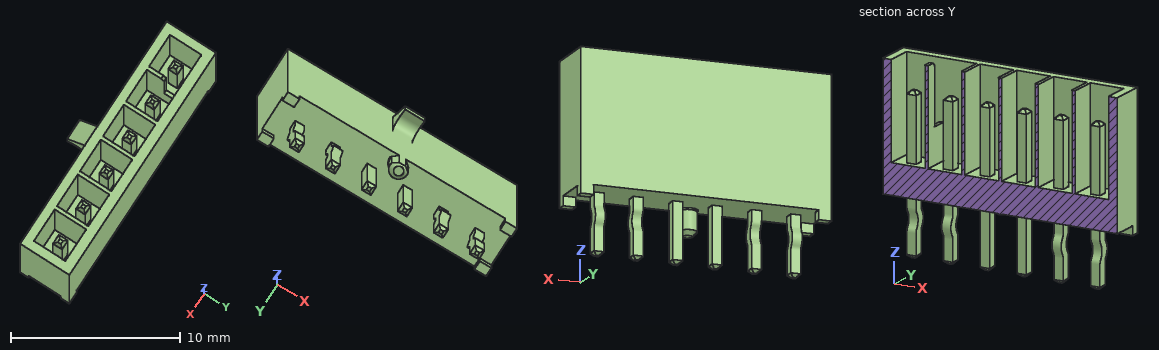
import cadquery as cq
import math


LENGTH = 15.94
DEPTH = 3.47
HEIGHT = 8.43
FRONT_Y = -DEPTH / 2
BACK_Y = DEPTH / 2

FOOT_LENGTH = 0.81
FOOT_DEPTH = 0.6
FOOT_HEIGHT = 0.6

PIN_COUNT = 6
PITCH = 2.5
POCKET_LENGTH = 2.26
FRONT_WALL = 0.6
BACK_WALL = 0.65
POCKET_WIDTH = DEPTH - FRONT_WALL - BACK_WALL
POCKET_DEPTH = 6.38
POCKET_BACK_Y = BACK_Y - BACK_WALL
POCKET_Y = POCKET_BACK_Y - POCKET_WIDTH / 2

GAP_LIP_Y = -0.13
GAP_CHAMFER = 0.2
GAP_DEPTH = 3.98

PIN_SIZE = 0.64
PIN_TIP = 0.2
PIN_BOTTOM = -3.83
PIN_TOP = HEIGHT - 1.91
KINK_CENTER_Z = -1.45
KINK_OFFSET = 0.24
KINK_CROWN_HALF = 0.5
KINK_HALF = 0.75
KINK_SIDES = [1, -1, 0, 0, -1, 1]

LATCH_WIDTH = 1.37
LATCH_REACH = 1.4
LATCH_TOP_Z = HEIGHT - 1.35
LATCH_NOSE_TOP_Z = HEIGHT - 3.0
LATCH_ROOT_Z = HEIGHT - 4.13
LATCH_HOLLOW_RADIUS = 0.65
LATCH_HOOK_ANGLE = math.radians(21.6)

PEG_RADIUS = 0.59
PEG_LENGTH = 1.61
PEG_CHAMFER = 0.29
PEG_Y = FRONT_Y + 0.43
PEG_FLAT_WIDTH = 0.45
PEG_FACET_DEPTH = 0.35
PEG_FLARE = 0.05
PEG_FLARE_HEIGHT = 0.1


def pin_x(index):
    return (index - (PIN_COUNT - 1) / 2) * PITCH


def box(length, width, height, x, y, bottom_z):
    """Box centred on (x, y) and standing on bottom_z."""
    return cq.Workplane("XY").box(length, width, height, centered=(True, True, False)).translate((x, y, bottom_z))


def make_housing():
    housing = box(LENGTH, DEPTH, HEIGHT, 0, 0, 0)
    foot_x = (LENGTH - FOOT_LENGTH) / 2
    foot_y = (DEPTH - FOOT_DEPTH) / 2
    for x in (-foot_x, foot_x):
        for y in (-foot_y, foot_y):
            housing = housing.union(box(FOOT_LENGTH, FOOT_DEPTH, FOOT_HEIGHT, x, y, -FOOT_HEIGHT))
    for index in range(PIN_COUNT):
        pocket = box(POCKET_LENGTH, POCKET_WIDTH, POCKET_DEPTH, pin_x(index), POCKET_Y, HEIGHT - POCKET_DEPTH)
        housing = housing.cut(pocket)
    return housing.cut(make_partition_gap())


def make_partition_gap():
    """Opening from the back wall to mid-partition, with a chamfer on its upper lip."""
    gap_end_y = GAP_LIP_Y + GAP_CHAMFER
    return (
        cq.Workplane("YZ")
        .moveTo(POCKET_BACK_Y, HEIGHT)
        .lineTo(GAP_LIP_Y, HEIGHT)
        .lineTo(gap_end_y, HEIGHT - GAP_CHAMFER)
        .lineTo(gap_end_y, HEIGHT - GAP_DEPTH)
        .lineTo(POCKET_BACK_Y, HEIGHT - GAP_DEPTH)
        .close()
        .extrude((PITCH - POCKET_LENGTH) / 2, both=True)
        .translate(((pin_x(0) + pin_x(1)) / 2, 0, 0))
    )


def kink_points(side):
    """(offset, height) points down the kink: root arc, crown arc and root arc, all meeting tangentially."""
    slope = 2 * math.atan(KINK_OFFSET / KINK_HALF)
    root_height = KINK_HALF - KINK_CROWN_HALF
    root_radius = root_height / math.sin(slope)
    root_offset = root_radius * (1 - math.cos(slope))
    half_root_offset = root_radius * (1 - math.cos(slope / 2))
    half_root_z = KINK_HALF - root_radius * math.sin(slope / 2)
    upper = [(0, KINK_HALF), (half_root_offset, half_root_z), (root_offset, KINK_CROWN_HALF)]
    lower = [(offset, -z) for offset, z in reversed(upper)]
    points = upper + [(KINK_OFFSET, 0)] + lower
    return [(side * offset, KINK_CENTER_Z + z) for offset, z in points]


def add_arcs(profile, points):
    """Continue a profile from points[0] with arcs through each following pair of points."""
    for middle, end in zip(points[1::2], points[2::2]):
        profile = profile.threePointArc(middle, end)
    return profile


def make_kink(side):
    """Kinked length of a pin: the same curve on both faces, one pin thickness apart."""
    half = PIN_SIZE / 2
    front = [(y - half, z) for y, z in kink_points(side)]
    back = [(y + half, z) for y, z in reversed(kink_points(side))]
    profile = add_arcs(cq.Workplane("YZ").moveTo(*front[0]), front)
    profile = add_arcs(profile.lineTo(*back[0]), back)
    return profile.close().extrude(half, both=True)


def make_pin(side):
    pin = box(PIN_SIZE, PIN_SIZE, PIN_TOP - PIN_BOTTOM, 0, 0, PIN_BOTTOM).faces("<Z or >Z").chamfer(PIN_TIP)
    if side == 0:
        return pin
    straight = box(PIN_SIZE, PIN_SIZE, 2 * KINK_HALF, 0, 0, KINK_CENTER_Z - KINK_HALF)
    return pin.cut(straight).union(make_kink(side))


def make_latch():
    """Ramp with a hooked underside that is hollowed next to the wall."""
    center_y = FRONT_Y - LATCH_HOLLOW_RADIUS

    def hollow_point(angle):
        """Point on the hollow, at an angle from its top and positive away from the wall."""
        return (
            center_y - LATCH_HOLLOW_RADIUS * math.sin(angle),
            LATCH_ROOT_Z + LATCH_HOLLOW_RADIUS * math.cos(angle),
        )

    hook_start = hollow_point(LATCH_HOOK_ANGLE)
    nose_y = FRONT_Y - LATCH_REACH
    nose_bottom_z = hook_start[1] - (hook_start[0] - nose_y) * math.tan(LATCH_HOOK_ANGLE)
    return (
        cq.Workplane("YZ")
        .moveTo(FRONT_Y, LATCH_TOP_Z)
        .lineTo(nose_y, LATCH_NOSE_TOP_Z)
        .lineTo(nose_y, nose_bottom_z)
        .lineTo(*hook_start)
        .threePointArc(hollow_point(-math.pi / 6), (FRONT_Y, LATCH_ROOT_Z))
        .close()
        .extrude(LATCH_WIDTH / 2, both=True)
    )


def make_peg():
    """Round peg with a tapered end, trimmed by a front flat and two slanted facets."""
    turned = (
        cq.Workplane("XZ")
        .moveTo(0, 0)
        .lineTo(PEG_RADIUS + PEG_FLARE, 0)
        .lineTo(PEG_RADIUS, -PEG_FLARE_HEIGHT)
        .lineTo(PEG_RADIUS, PEG_CHAMFER - PEG_LENGTH)
        .lineTo(PEG_RADIUS - PEG_CHAMFER, -PEG_LENGTH)
        .lineTo(0, -PEG_LENGTH)
        .close()
        .revolve(360, (0, 0, 0), (0, 1, 0))
        .translate((0, PEG_Y, 0))
    )
    side_x = PEG_RADIUS + PEG_FLARE
    facet_y = FRONT_Y + PEG_FACET_DEPTH
    back_y = PEG_Y + side_x
    outline = (
        cq.Workplane("XY")
        .polyline([
            (-PEG_FLAT_WIDTH / 2, FRONT_Y),
            (PEG_FLAT_WIDTH / 2, FRONT_Y),
            (side_x, facet_y),
            (side_x, back_y),
            (-side_x, back_y),
            (-side_x, facet_y),
        ])
        .close()
        .extrude(-PEG_LENGTH)
    )
    return turned.intersect(outline)


result = make_housing().union(make_latch()).union(make_peg())
for index, side in enumerate(KINK_SIDES):
    result = result.union(make_pin(side).translate((pin_x(index), 0, 0)))